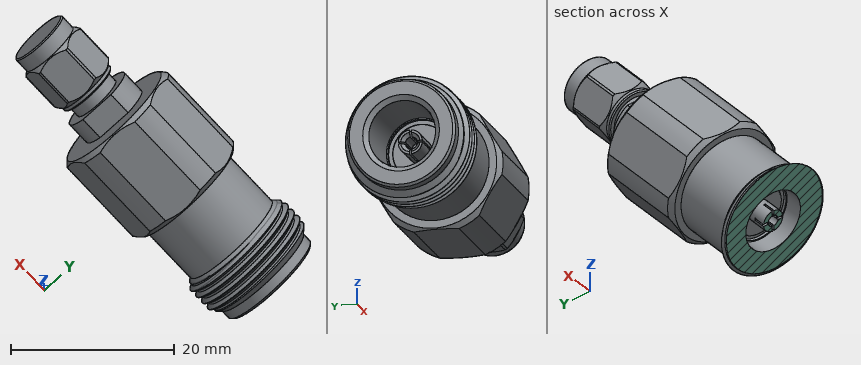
import cadquery as cq
import math

TOTAL_LENGTH = 41.9

BARREL_DIAMETER = 13.7
SOCKET_EDGE_CHAMFER = 0.3
THREAD_START = 1.55
THREAD_END = 7.15
THREAD_PITCH = 1.05
THREAD_ROOT_RADIUS = 7.35
THREAD_CREST_RADIUS = 7.92
THREAD_CREST_WIDTH = 0.1
THREAD_FLANK_ANGLE = 30.0
RIDGE_OVERLAP = 0.1
RIDGE_START = 1.0
RIDGE_TURNS = 6
TRIM_CLEARANCE = 0.13

BORE_DIAMETER = 8.45
BORE_MOUTH_DIAMETER = 9.72
BORE_MOUTH_DEPTH = 0.5
BORE_DEPTH = 8.4
STEP_BORE_DIAMETER = 8.15
STEP_BORE_DEPTH = 8.8
INSULATOR_DIAMETER = 7.0
INSULATOR_HEIGHT = 0.2
CONTACT_DIAMETER = 3.05
CONTACT_TIP = 4.15
CONTACT_HOLE_DIAMETER = 1.5
CONTACT_HOLE_DEPTH = 3.35
CONTACT_MOUTH_DIAMETER = 2.45
CONTACT_SLOT_WIDTH = 0.25

BODY_START = 15.25
BODY_END = 28.25
BODY_ACROSS_FLATS = 15.9
BODY_CORNER_DIAMETER = 16.9
BODY_CHAMFER = 0.63

COLLAR_END = 31.35
COLLAR_DIAMETER = 9.2
COLLAR_ACROSS_FLATS = 7.95
NECK_DIAMETER = 6.33

NUT_START = 32.9
NUT_HEX_START = 33.5
NUT_HEX_END = 39.85
NUT_SLEEVE_DIAMETER = 7.75
NUT_SLEEVE_CHAMFER = 0.15
NUT_ACROSS_FLATS = 7.95
NUT_CORNER_DIAMETER = 9.0
NUT_HEX_CHAMFER = 0.63


def cylinder(start, end, diameter):
    """Round bar along X."""
    return cq.Workplane("YZ", origin=(start, 0, 0)).circle(diameter / 2).extrude(end - start)


def revolved(points):
    """Solid turned about X from a closed (x, radius) outline."""
    return cq.Workplane("XY").polyline(points).close().revolve(360, (0, 0, 0), (1, 0, 0))


def turned_hexagon(start, end, across_flats, corner_diameter, chamfer):
    """Hexagonal bar with flats facing +Z and -Z, corners turned round and ends chamfered."""
    across_corners = across_flats / math.cos(math.pi / 6)
    bar = cq.Workplane("YZ", origin=(start, 0, 0)).polygon(6, across_corners).extrude(end - start)
    blank = cylinder(start, end, corner_diameter).faces("<X or >X").chamfer(chamfer)
    return bar.intersect(blank)


def runout(radius):
    """Threaded length turned to a radius, falling to the barrel on a 45 degree cone at each end."""
    barrel_radius = BARREL_DIAMETER / 2
    cone_run = radius - barrel_radius
    return revolved([
        (THREAD_START, 0),
        (THREAD_START, barrel_radius),
        (THREAD_START + cone_run, radius),
        (THREAD_END - cone_run, radius),
        (THREAD_END, barrel_radius),
        (THREAD_END, 0),
    ])


def thread():
    """Right-handed external thread: a helical ridge, trimmed at the run-outs, on a root core."""
    slope = math.tan(math.radians(THREAD_FLANK_ANGLE))
    base_radius = THREAD_ROOT_RADIUS - RIDGE_OVERLAP
    crest_half = THREAD_CREST_WIDTH / 2
    base_half = crest_half + slope * (THREAD_CREST_RADIUS - base_radius)
    helix = cq.Wire.makeHelix(THREAD_PITCH, THREAD_PITCH * RIDGE_TURNS, THREAD_ROOT_RADIUS)
    ridge = (
        cq.Workplane("XZ")
        .polyline([
            (base_radius, -base_half),
            (THREAD_CREST_RADIUS, -crest_half),
            (THREAD_CREST_RADIUS, crest_half),
            (base_radius, base_half),
        ])
        .close()
        .sweep(cq.Workplane(obj=helix), isFrenet=True)
        .rotate((0, 0, 0), (0, 1, 0), 90)
        .translate((RIDGE_START, 0, 0))
    )
    trimmed_ridge = ridge.intersect(runout(THREAD_CREST_RADIUS + TRIM_CLEARANCE))
    return runout(THREAD_ROOT_RADIUS).union(trimmed_ridge)


def socket_bore():
    """Material removed from the socket, with a countersunk mouth and a stepped floor."""
    bore_radius = BORE_DIAMETER / 2
    step_radius = STEP_BORE_DIAMETER / 2
    bore = revolved([
        (0, 0),
        (0, BORE_MOUTH_DIAMETER / 2),
        (BORE_MOUTH_DEPTH, bore_radius),
        (BORE_DEPTH, bore_radius),
        (BORE_DEPTH, step_radius),
        (STEP_BORE_DEPTH, step_radius),
        (STEP_BORE_DEPTH, 0),
    ])
    insulator = cylinder(STEP_BORE_DEPTH - INSULATOR_HEIGHT, STEP_BORE_DEPTH, INSULATOR_DIAMETER)
    return bore.cut(insulator)


def contact():
    """Central female contact with a countersunk hole and two crossed slots."""
    hole_end = CONTACT_TIP + CONTACT_HOLE_DEPTH
    mouth_radius = CONTACT_MOUTH_DIAMETER / 2
    hole_radius = CONTACT_HOLE_DIAMETER / 2
    hole = revolved([
        (CONTACT_TIP, 0),
        (CONTACT_TIP, mouth_radius),
        (CONTACT_TIP + mouth_radius - hole_radius, hole_radius),
        (hole_end, hole_radius),
        (hole_end, 0),
    ])
    pin = cylinder(CONTACT_TIP, STEP_BORE_DEPTH, CONTACT_DIAMETER).cut(hole)
    for angle in (0, 90):
        slot = (
            cq.Workplane("YZ", origin=(CONTACT_TIP, 0, 0))
            .rect(CONTACT_DIAMETER, CONTACT_SLOT_WIDTH)
            .extrude(CONTACT_HOLE_DEPTH)
            .rotate((0, 0, 0), (1, 0, 0), angle)
        )
        pin = pin.cut(slot)
    return pin


def collar():
    """Round collar with flats facing +Z and -Z."""
    length = COLLAR_END - BODY_END
    flats = (
        cq.Workplane("YZ", origin=(BODY_END, 0, 0))
        .rect(COLLAR_DIAMETER, COLLAR_ACROSS_FLATS)
        .extrude(length)
    )
    return cylinder(BODY_END, COLLAR_END, COLLAR_DIAMETER).intersect(flats)


barrel = cylinder(0, BODY_START, BARREL_DIAMETER).faces("<X").chamfer(SOCKET_EDGE_CHAMFER)
socket = barrel.union(thread()).cut(socket_bore()).union(contact())

body = turned_hexagon(BODY_START, BODY_END, BODY_ACROSS_FLATS, BODY_CORNER_DIAMETER, BODY_CHAMFER)

neck = cylinder(COLLAR_END, NUT_START, NECK_DIAMETER)

nut_sleeve = (
    cylinder(NUT_START, TOTAL_LENGTH, NUT_SLEEVE_DIAMETER)
    .faces("<X or >X")
    .chamfer(NUT_SLEEVE_CHAMFER)
)
nut_hexagon = turned_hexagon(
    NUT_HEX_START, NUT_HEX_END, NUT_ACROSS_FLATS, NUT_CORNER_DIAMETER, NUT_HEX_CHAMFER
)

result = socket.union(body).union(collar()).union(neck).union(nut_sleeve).union(nut_hexagon)